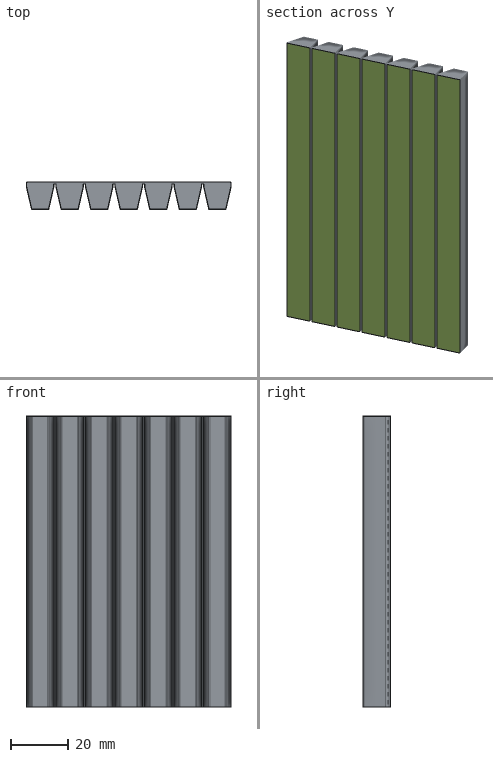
import cadquery as cq

width = 71.5
depth = 9.7
height = 101.6

rib_count = 7
groove_floor_width = 0.7
web_thickness = 0.8
straight_side = 1.7
flank_inset = 1.8
tip_radius = 0.4
back_corner_radius = 0.5

pitch = (width + groove_floor_width) / rib_count
rib_width = pitch - groove_floor_width
back_y = depth / 2
front_y = -depth / 2
taper_y = back_y - straight_side


def make_rib(center_x):
    """Upright rib with tapered flanks and rounded front edges."""
    half_root = rib_width / 2
    half_tip = half_root - flank_inset
    outline = [
        (-half_root, back_y),
        (half_root, back_y),
        (half_root, taper_y),
        (half_tip, front_y),
        (-half_tip, front_y),
        (-half_root, taper_y),
    ]
    rib = cq.Workplane("XY").polyline(outline).close().extrude(height)
    rib = rib.faces("<Y").edges("|Z").fillet(tip_radius)
    return rib.translate((center_x, 0, 0))


result = cq.Workplane("XY").box(width, web_thickness, height, centered=(True, True, False))
result = result.translate((0, back_y - web_thickness / 2, 0))

for index in range(rib_count):
    rib_x = (index - (rib_count - 1) / 2) * pitch
    result = result.union(make_rib(rib_x))

result = result.clean()
result = result.faces(">Y").edges("|Z").fillet(back_corner_radius)